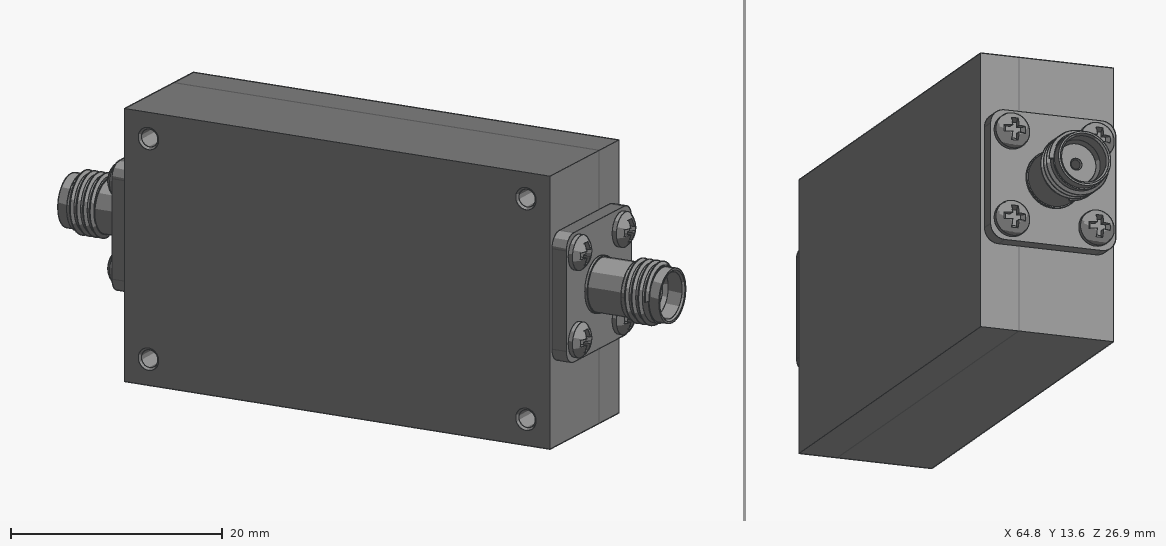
import cadquery as cq
import math


overall_length = 64.8
housing_length = 45.85
housing_depth = 13.55
housing_height = 26.95
lid_thickness = 3.9

mount_inset = 2.6
mount_drill_diameter = 1.75
mount_mouth_diameter = 2.2
mount_hole_depth = 3.9
drill_point_angle = 118.0

flange_size = 12.75
flange_top_margin = 5.8
connector_z = housing_height / 2 - flange_top_margin - flange_size / 2
flange_thickness = 1.55
flange_corner_radius = 1.4

barrel_diameter = 5.3
barrel_length = (overall_length - housing_length) / 2 - flange_thickness
barrel_collar_diameter = 5.6
barrel_collar_length = 0.25
barrel_mouth_chamfer = 0.2
bore_diameter = 4.55
bore_depth = 1.7
bore_floor_diameter = 4.0
bore_cone_length = 0.45
contact_diameter = 0.9
contact_mouth_diameter = 1.15
contact_depth = 1.95

thread_core_diameter = 5.6
thread_core_start = 1.05
thread_core_end = 4.0
thread_diameter = 6.2
thread_pitch = 0.7
thread_turns = 3.75
thread_start = 1.2
thread_crest_width = 0.05
thread_root_width = 0.6
thread_overlap = 0.05

screw_spacing = 8.6
screw_head_diameter = 3.45
screw_rim_height = 0.45
screw_head_height = 1.3
recess_width = 0.65
recess_top_length = 2.6
recess_floor_length = 1.55
recess_depth = 0.8


def make_housing():
    """Body and lid joined along Y, keeping the parting line on the outside."""
    body_depth = housing_depth - lid_thickness
    front_y = -housing_depth / 2
    parting_y = front_y + body_depth
    body = cq.Workplane("XY").box(housing_length, body_depth, housing_height)
    body = body.translate((0, front_y + body_depth / 2, 0))
    lid = cq.Workplane("XY").box(housing_length, lid_thickness, housing_height)
    lid = lid.translate((0, parting_y + lid_thickness / 2, 0))
    return body.union(lid, clean=False)


def make_mount_drill():
    """Blind hole with a chamfered mouth and a drill point, running from the -Y face toward +Y."""
    drill_radius = mount_drill_diameter / 2
    mouth_radius = mount_mouth_diameter / 2
    chamfer = mouth_radius - drill_radius
    point_length = drill_radius / math.tan(math.radians(drill_point_angle / 2))
    return (
        cq.Workplane("XY")
        .moveTo(0, 0)
        .lineTo(mouth_radius, 0)
        .lineTo(drill_radius, chamfer)
        .lineTo(drill_radius, mount_hole_depth)
        .lineTo(0, mount_hole_depth + point_length)
        .close()
        .revolve(360, (0, 0), (0, 1))
        .translate((0, -housing_depth / 2, 0))
    )


def make_barrel():
    """Barrel along +Z with its open end at Z = 0, bore with a conical bottom and contact hole."""
    outer = barrel_diameter / 2
    collar = barrel_collar_diameter / 2
    thread_core = thread_core_diameter / 2
    bore = bore_diameter / 2
    bore_floor = bore_floor_diameter / 2
    contact = contact_diameter / 2
    contact_mouth = contact_mouth_diameter / 2
    floor = bore_depth + bore_cone_length
    profile = [
        (bore + barrel_mouth_chamfer, 0),
        (outer, 0),
        (outer, thread_core_start),
        (thread_core, thread_core_start),
        (thread_core, thread_core_end),
        (outer, thread_core_end),
        (outer, barrel_length - barrel_collar_length),
        (collar, barrel_length - barrel_collar_length),
        (collar, barrel_length),
        (0, barrel_length),
        (0, floor + contact_depth),
        (contact, floor + contact_depth),
        (contact, floor + contact_mouth - contact),
        (contact_mouth, floor),
        (bore_floor, floor),
        (bore, bore_depth),
        (bore, barrel_mouth_chamfer),
    ]
    return cq.Workplane("XZ").polyline(profile).close().revolve(360, (0, 0), (0, 1))


def make_thread():
    """Right-handed helical ridge, slightly sunk into the thread core."""
    root_radius = thread_core_diameter / 2 - thread_overlap
    crest_radius = thread_diameter / 2
    helix = cq.Wire.makeHelix(thread_pitch, thread_pitch * thread_turns, root_radius)
    ridge = (
        cq.Workplane("XZ")
        .moveTo(root_radius, -thread_root_width / 2)
        .lineTo(crest_radius, -thread_crest_width / 2)
        .lineTo(crest_radius, thread_crest_width / 2)
        .lineTo(root_radius, thread_root_width / 2)
        .close()
        .sweep(cq.Workplane(obj=helix), isFrenet=True)
    )
    return ridge.translate((0, 0, thread_start))


def make_screw_head():
    """Domed head with a cross recess, standing on Z = 0 and facing -Z."""
    radius = screw_head_diameter / 2
    dome_height = screw_head_height - screw_rim_height
    dome_radius = (radius**2 + dome_height**2) / (2 * dome_height)
    dome_centre = dome_radius - screw_head_height
    mid_angle = math.asin(radius / dome_radius) / 2
    dome_mid = (dome_radius * math.sin(mid_angle), dome_centre - dome_radius * math.cos(mid_angle))
    head = (
        cq.Workplane("XZ")
        .lineTo(radius, 0)
        .lineTo(radius, -screw_rim_height)
        .threePointArc(dome_mid, (0, -screw_head_height))
        .close()
        .revolve(360, (0, 0), (0, 1))
    )
    recess_floor = recess_depth - screw_head_height
    slot = (
        cq.Workplane("XZ")
        .moveTo(-recess_top_length / 2, -screw_head_height)
        .lineTo(recess_top_length / 2, -screw_head_height)
        .lineTo(recess_floor_length / 2, recess_floor)
        .lineTo(-recess_floor_length / 2, recess_floor)
        .close()
        .extrude(recess_width / 2, both=True)
    )
    return head.cut(slot).cut(slot.rotate((0, 0, 0), (0, 0, 1), 90))


def make_connector():
    """Complete connector along +Z, open end at Z = 0, flange back at the housing end."""
    flange = (
        cq.Workplane("XY", origin=(0, 0, barrel_length))
        .rect(flange_size, flange_size)
        .extrude(flange_thickness)
        .edges("|Z")
        .fillet(flange_corner_radius)
    )
    connector = make_barrel().union(make_thread()).union(flange)
    screw_head = make_screw_head()
    for x in (-screw_spacing / 2, screw_spacing / 2):
        for y in (-screw_spacing / 2, screw_spacing / 2):
            connector = connector.union(screw_head.translate((x, y, barrel_length)))
    return connector


result = make_housing()
mount_drill = make_mount_drill()
mount_x = housing_length / 2 - mount_inset
mount_z = housing_height / 2 - mount_inset
for x in (-mount_x, mount_x):
    for z in (-mount_z, mount_z):
        result = result.cut(mount_drill.translate((x, 0, z)), clean=False)

connector_plane = cq.Plane.named("YZ", origin=(-overall_length / 2, 0, connector_z))
left_connector = cq.Workplane(obj=make_connector().val().moved(cq.Location(connector_plane)))
right_connector = left_connector.rotate((0, 0, 0), (0, 0, 1), 180)
result = result.union(left_connector, clean=False).union(right_connector, clean=False)